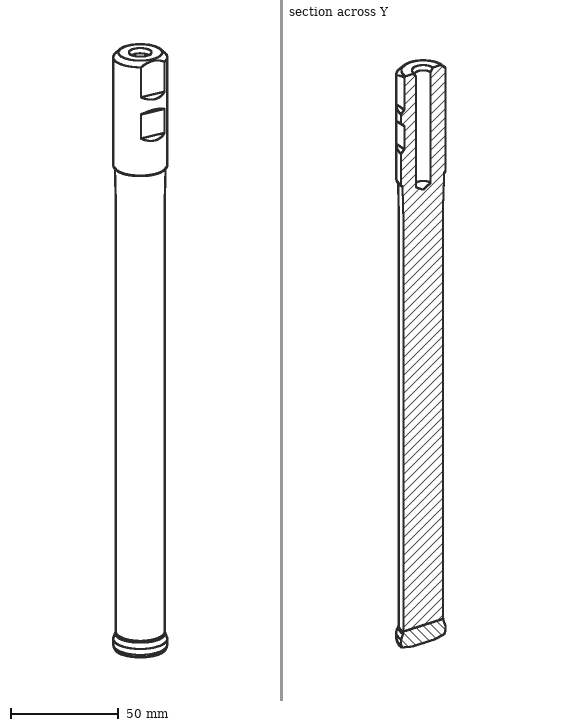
import cadquery as cq
import math

total_length = 299.0
shank_diameter = 25.0
body_diameter = 22.7
shank_radius = shank_diameter / 2
body_radius = body_diameter / 2

shank_bottom = 242.0
shank_bottom_chamfer = 0.5
top_chamfer = 2.5
flat_distance = 10.8
flat_depth = shank_radius - flat_distance
upper_flat_bottom = 281.7
lower_flat_top = 273.0
lower_flat_bottom = 261.0

bore_diameter = 8.0
mouth_diameter = 10.5
mouth_chamfer_depth = 2.0
bore_depth = 59.8
bore_floor = total_length - bore_depth
drill_cone_depth = bore_diameter / 2 / math.tan(math.radians(118 / 2))

neck_top_diameter = 23.5
neck_bottom_diameter = 23.0
neck_bottom = 228.0
neck_chamfer = 0.5

cap_height = 9.3
collar_diameter = 23.0
collar_bottom = 8.5
cap_shoulder = 5.7
cap_rim_bottom = 2.7
cap_edge_diameter = 24.0
cap_edge_height = 1.2
cap_face_diameter = 12.5


def make_holder():
    """Turned shank, tapered neck and long body with a blind axial bore."""
    profile = [
        (0, cap_height),
        (body_radius, cap_height),
        (body_radius, neck_bottom - neck_chamfer),
        (neck_bottom_diameter / 2, neck_bottom),
        (neck_top_diameter / 2, shank_bottom),
        (shank_radius - shank_bottom_chamfer, shank_bottom),
        (shank_radius, shank_bottom + shank_bottom_chamfer),
        (shank_radius, total_length - top_chamfer),
        (shank_radius - top_chamfer, total_length),
        (mouth_diameter / 2, total_length),
        (bore_diameter / 2, total_length - mouth_chamfer_depth),
        (bore_diameter / 2, bore_floor),
        (0, bore_floor - drill_cone_depth),
    ]
    turned = cq.Workplane("XZ").polyline(profile).close().revolve(360, (0, 0), (0, 1))
    upper_flat = flat_cutter(upper_flat_bottom, total_length + flat_depth)
    lower_flat = flat_cutter(lower_flat_bottom, lower_flat_top)
    return turned.cut(upper_flat).cut(lower_flat)


def flat_cutter(bottom, top):
    """Cutter for a flat on the +X side, with ends sloping outward at 45 degrees."""
    return (
        cq.Workplane("XZ")
        .polyline(
            [
                (flat_distance, bottom),
                (shank_radius, bottom - flat_depth),
                (shank_radius, top + flat_depth),
                (flat_distance, top),
            ]
        )
        .close()
        .extrude(shank_radius, both=True)
    )


def make_end_cap():
    """Cap under the body, with a low collar, a coned shoulder, a chamfered rim and a shallow coned end."""
    profile = [
        (0, 0),
        (cap_face_diameter / 2, 0),
        (cap_edge_diameter / 2, cap_edge_height),
        (shank_radius, cap_rim_bottom),
        (shank_radius, cap_shoulder),
        (collar_diameter / 2, collar_bottom),
        (collar_diameter / 2, cap_height),
        (0, cap_height),
    ]
    return cq.Workplane("XZ").polyline(profile).close().revolve(360, (0, 0), (0, 1))


holder = make_holder()
end_cap = make_end_cap()

result = cq.Compound.makeCompound([holder.val(), end_cap.val()])